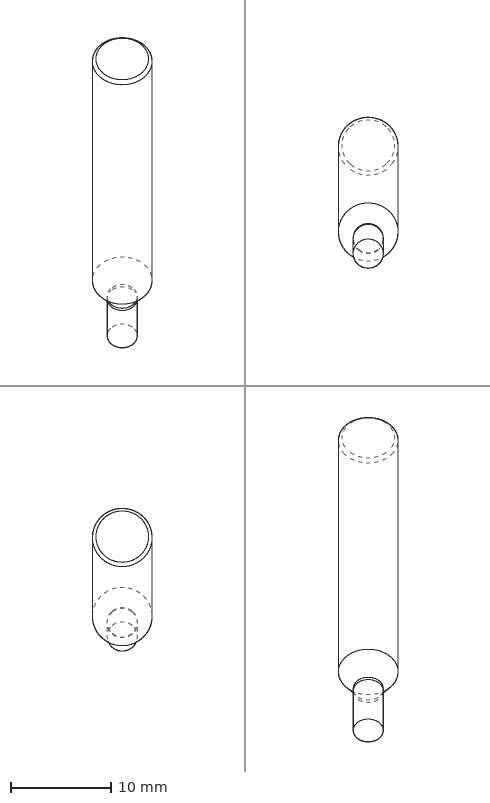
import cadquery as cq
import math

total_length = 45.0

tip_diameter = 3.0
tip_length = 6.08

shank_diameter = 6.0
neck_length = 0.35
taper_half_angle = 30.0
end_chamfer = 0.35

tip_radius = tip_diameter / 2
shank_radius = shank_diameter / 2
taper_start = tip_length + neck_length
taper_length = (shank_radius - tip_radius) / math.tan(math.radians(taper_half_angle))
taper_end = taper_start + taper_length


def make_tip():
    """Plain cylinder standing on the XY plane."""
    return cq.Workplane("XY").circle(tip_radius).extrude(tip_length)


def make_shank():
    """Chamfered round shank that tapers down to a short neck of the tip's diameter."""
    half_profile = (
        cq.Workplane("XZ")
        .moveTo(0, tip_length)
        .lineTo(tip_radius, tip_length)
        .lineTo(tip_radius, taper_start)
        .lineTo(shank_radius, taper_end)
        .lineTo(shank_radius, total_length - end_chamfer)
        .lineTo(shank_radius - end_chamfer, total_length)
        .lineTo(0, total_length)
        .close()
    )
    return half_profile.revolve(360, (0, 0, 0), (0, 1, 0))


tip = make_tip()
shank = make_shank()
result = cq.Compound.makeCompound([tip.val(), shank.val()])